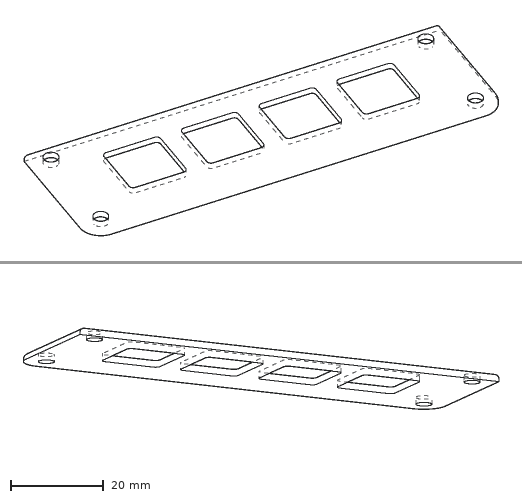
import cadquery as cq

plate_width = 31.4
plate_length = 101.0
plate_thickness = 1.5
corner_radius = 5.0
edge_fillet = 1.0

hole_diameter = 3.4
hole_left_x = 3.0
hole_spacing_x = 23.4
hole_spacing_y = 91.0

window_count = 4
window_size = 13.7
window_corner_radius = 1.0
window_pitch = 18.9
window_center_x = 13.9


def make_plate():
    """Plate with two rounded corners and a filleted top rim, except on the straight edge."""
    plate = cq.Workplane("XY").box(
        plate_width, plate_length, plate_thickness, centered=(False, True, False)
    )
    plate = plate.edges("|Z and >X").fillet(corner_radius)
    return plate.faces(">Z").edges("not <X").fillet(edge_fillet)


def make_mounting_holes():
    """Cylinders for the four corner holes."""
    hole_center_x = hole_left_x + hole_spacing_x / 2
    return (
        cq.Workplane("XY")
        .center(hole_center_x, 0)
        .rect(hole_spacing_x, hole_spacing_y, forConstruction=True)
        .vertices()
        .circle(hole_diameter / 2)
        .extrude(plate_thickness)
    )


def make_windows():
    """Rounded square prisms, evenly spaced along Y."""
    return (
        cq.Workplane("XY")
        .center(window_center_x, 0)
        .rarray(1, window_pitch, 1, window_count)
        .rect(window_size, window_size)
        .extrude(plate_thickness)
        .edges("|Z")
        .fillet(window_corner_radius)
    )


result = make_plate().cut(make_mounting_holes()).cut(make_windows())